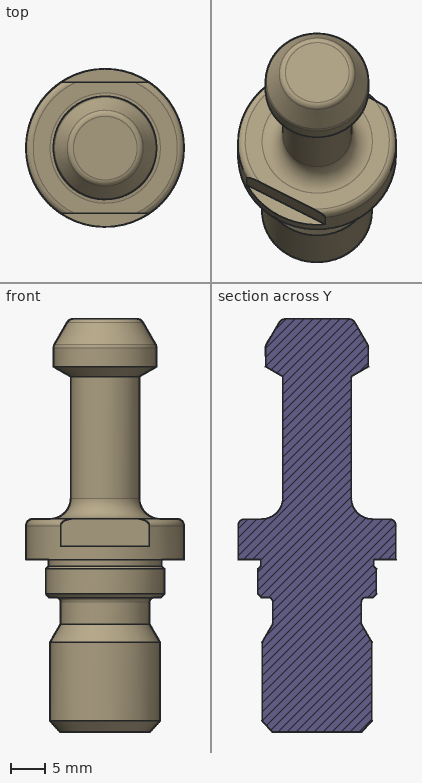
import cadquery as cq
import math

tip_diameter = 13.0
shank_diameter = 16.0
neck_diameter = 12.95
collar_diameter = 17.3
relief_diameter = 16.5
flange_diameter = 23.0
stem_diameter = 10.0
head_diameter = 15.0

shank_top = 13.0
collar_bottom = 19.5
collar_top = 24.05
flange_bottom = 25.0
flange_top = 30.95
head_bottom = 51.6
head_cone_start = 56.05
total_height = 60.0

steep_angle = math.radians(60)
shallow_angle = math.radians(30)
tip_chamfer_height = 1.6
neck_fillet = 0.6
collar_chamfer = 0.55
flange_round = 1.0
stem_fillet = 3.0
head_round = 1.0

flat_width = 19.0
flat_bottom = 27.0

tip_radius = tip_diameter / 2
shank_radius = shank_diameter / 2
neck_radius = neck_diameter / 2
collar_radius = collar_diameter / 2
relief_radius = relief_diameter / 2
flange_radius = flange_diameter / 2
stem_radius = stem_diameter / 2
head_radius = head_diameter / 2

neck_bottom = shank_top + (shank_radius - neck_radius) * math.tan(steep_angle)
head_underside_top = head_bottom + (head_radius - stem_radius) * math.tan(shallow_angle)
head_top_radius = head_radius - (total_height - head_cone_start) / math.tan(steep_angle)
collar_top_bevel = collar_radius - relief_radius


def revolve_profile(points):
    """Turn an (r, z) outline around the Z axis."""
    profile = cq.Workplane("XZ").polyline(points).close()
    return profile.revolve(360, (0, 0, 0), (0, 1, 0))


def round_circle(body, radius, height, fillet):
    """Fillet the circular edge with the given radius and height."""
    margin = 0.005
    reach = radius + margin
    edge_box = cq.selectors.BoxSelector(
        (-reach, -reach, height - margin),
        (reach, reach, height + margin),
    )
    edges = body.edges("%CIRCLE").edges(edge_box)
    matching_edges = [edge for edge in edges.vals() if abs(edge.radius() - radius) < margin]
    return body.newObject(matching_edges).fillet(fillet)


def cut_wrench_flats(body):
    """Cut the two parallel flats on the +Y and -Y sides of the flange."""
    flat_depth = flange_radius - flat_width / 2
    for side in (-1, 1):
        cutter = (
            cq.Workplane("XY", origin=(0, side * (flat_width + flat_depth) / 2, flat_bottom))
            .rect(flange_diameter, flat_depth)
            .extrude(flange_top - flat_bottom)
        )
        body = body.cut(cutter)
    return body


body = revolve_profile([
    (0, 0),
    (tip_radius, 0),
    (shank_radius, tip_chamfer_height),
    (shank_radius, shank_top),
    (neck_radius, neck_bottom),
    (neck_radius, collar_bottom),
    (collar_radius - collar_chamfer, collar_bottom),
    (collar_radius, collar_bottom + collar_chamfer),
    (collar_radius, collar_top - collar_top_bevel),
    (relief_radius, collar_top),
    (relief_radius, flange_bottom),
    (flange_radius, flange_bottom),
    (flange_radius, flange_top),
    (stem_radius, flange_top),
    (stem_radius, head_bottom),
    (head_radius, head_underside_top),
    (head_radius, head_cone_start),
    (head_top_radius, total_height),
    (0, total_height),
])

body = round_circle(body, neck_radius, collar_bottom, neck_fillet)
body = round_circle(body, flange_radius, flange_top, flange_round)
body = round_circle(body, stem_radius, flange_top, stem_fillet)
body = round_circle(body, head_radius, head_cone_start, head_round)
body = round_circle(body, head_top_radius, total_height, head_round)

result = cut_wrench_flats(body)